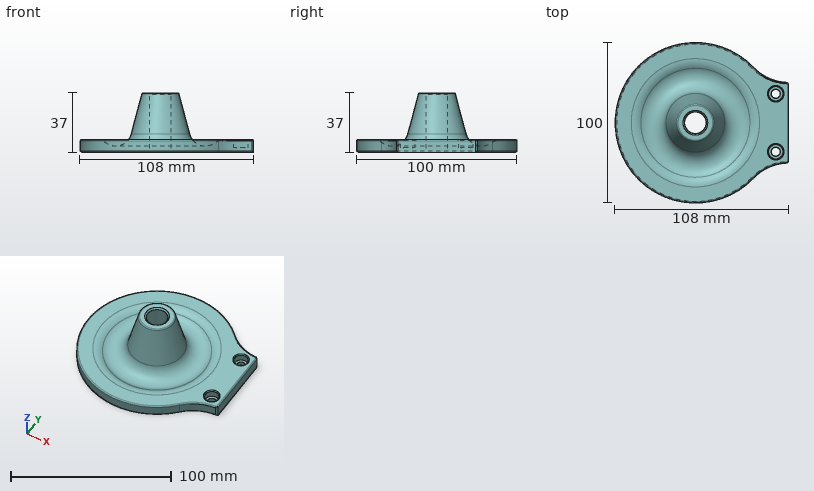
import cadquery as cq
import math

disc_radius = 50.0
plate_thickness = 8.0
tab_reach = 58.0
blend_radius = 30.0
corner_chamfer = 1.0
top_rounding = 0.8
bottom_chamfer = 1.0

total_height = 37.0
cone_angle = math.radians(15)
bore_diameter = 13.4
bore_chamfer = 1.0
hub_rounding = 0.8
trough_radius = 40.0
trough_floor = 4.0
trough_bend = 10.0

screw_x = 50.0
screw_spacing = 36.1
screw_diameter = 5.5
counterbore_diameter = 9.0
counterbore_depth = 5.0
screw_chamfer = 0.6


def make_plate():
    blend_y = math.sqrt((disc_radius + blend_radius) ** 2 - tab_reach**2)
    touch_ratio = disc_radius / (disc_radius + blend_radius)
    touch_x = touch_ratio * tab_reach
    touch_y = touch_ratio * blend_y
    mid_angle = (math.atan2(blend_y, tab_reach) + math.pi / 2) / 2
    mid_x = tab_reach - blend_radius * math.cos(mid_angle)
    mid_y = blend_y - blend_radius * math.sin(mid_angle)
    tab_half_width = blend_y - blend_radius

    plate = (
        cq.Workplane("XY")
        .moveTo(touch_x, touch_y)
        .threePointArc((-disc_radius, 0), (touch_x, -touch_y))
        .threePointArc((mid_x, -mid_y), (tab_reach, -tab_half_width))
        .lineTo(tab_reach, tab_half_width)
        .threePointArc((mid_x, mid_y), (touch_x, touch_y))
        .close()
        .extrude(plate_thickness)
    )
    plate = plate.faces(">X").edges("|Z").chamfer(corner_chamfer)
    plate = plate.faces(">Z").edges().fillet(top_rounding)
    return plate.faces("<Z").edges("%CIRCLE").chamfer(bottom_chamfer)


def make_hub():
    rim_z = plate_thickness - trough_bend
    foot_z = trough_floor + trough_bend
    foot_r = trough_radius - math.sqrt((2 * trough_bend) ** 2 - (foot_z - rim_z) ** 2)
    inflection = ((trough_radius + foot_r) / 2, (rim_z + foot_z) / 2)
    half_turn = math.atan2(trough_radius - foot_r, foot_z - rim_z) / 2
    rim_mid = (
        trough_radius - trough_bend * math.sin(half_turn),
        rim_z + trough_bend * math.cos(half_turn),
    )
    cone_foot = (
        foot_r - trough_bend * math.cos(cone_angle),
        foot_z - trough_bend * math.sin(cone_angle),
    )
    cone_top_radius = cone_foot[0] - (total_height - cone_foot[1]) * math.tan(cone_angle)

    hub = (
        cq.Workplane("XZ")
        .lineTo(trough_radius, 0)
        .lineTo(trough_radius, plate_thickness)
        .threePointArc(rim_mid, inflection)
        .threePointArc((foot_r, trough_floor), cone_foot)
        .lineTo(cone_top_radius, total_height)
        .lineTo(0, total_height)
        .close()
        .revolve(360, (0, 0, 0), (0, 1, 0))
    )
    return hub.faces(">Z").edges().fillet(hub_rounding)


def countersink(diameter, chamfer, top):
    """Cutter that breaks the upper edge of a hole on the Z axis."""
    radius = diameter / 2
    cone = cq.Solid.makeCone(radius, radius + chamfer, chamfer, pnt=cq.Vector(0, 0, top - chamfer))
    return cq.Workplane(cone)


def bore_cutter():
    bore = cq.Workplane("XY").circle(bore_diameter / 2).extrude(total_height)
    return bore.union(countersink(bore_diameter, bore_chamfer, total_height))


def screw_cutter():
    seat_z = plate_thickness - counterbore_depth
    hole = cq.Workplane("XY").circle(screw_diameter / 2).extrude(plate_thickness)
    seat = (
        cq.Workplane("XY")
        .workplane(offset=seat_z)
        .circle(counterbore_diameter / 2)
        .extrude(counterbore_depth)
    )
    return hole.union(seat).union(countersink(counterbore_diameter, screw_chamfer, plate_thickness))


hub_opening = cq.Workplane("XY").circle(trough_radius).extrude(plate_thickness)
result = make_plate().cut(hub_opening).union(make_hub())
result = result.cut(bore_cutter())
for side in (-1, 1):
    result = result.cut(screw_cutter().translate((screw_x, side * screw_spacing / 2, 0)))